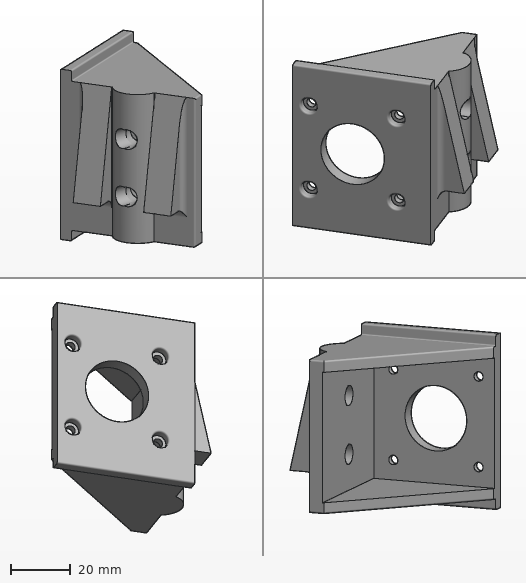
import cadquery as cq
import math


plate_height = 59.8
plate_thickness = 4.25
housing_length = 50.0
housing_depth = 48.8
housing_height = 52.25
slope_start_x = 6.15
end_face_depth = 5.45
edge_radius = 0.6
plate_corner_radius = 0.4

bore_wall = 5.5
front_wall = 5.0
gusset_thickness = 3.8

bore_diameter = 22.35
bore_y = 27.55
screw_spacing = 31.0
screw_diameter = 3.2
counterbore_diameter = 5.6
counterbore_depth = 3.0
counterbore_rounding = 0.6

rib_x = 27.0
rib_radius = 8.5
rib_reach = 4.9

barb_inner_offset = 8.0
barb_outer_offset = 18.05
barb_reach = 8.9
barb_bottom_z = -13.3
barb_side_radius = 2.0
barb_bottom_radius = 2.9

cross_hole_diameter = 6.8
cross_hole_spacing = 20.1
tilt_angle = 20.0
tilt_meeting_y = 0.9

housing_top = housing_height / 2


def box(x_range, y_range, z_range):
    (x0, x1), (y0, y1), (z0, z1) = x_range, y_range, z_range
    return cq.Workplane("XY").box(x1 - x0, y1 - y0, z1 - z0, centered=False).translate((x0, y0, z0))


def triangular_housing():
    body = (
        cq.Workplane("XY", origin=(0, 0, -housing_top))
        .moveTo(0, 0)
        .lineTo(housing_length, 0)
        .lineTo(housing_length, end_face_depth)
        .lineTo(slope_start_x, housing_depth)
        .lineTo(0, housing_depth)
        .close()
        .extrude(housing_height)
    )
    sloping_side = cq.selectors.NearestToPointSelector(
        ((housing_length + slope_start_x) / 2, (housing_depth + end_face_depth) / 2, 0)
    )
    slope_edges = body.faces(sloping_side).edges("#Z")
    end_edges = body.faces(">X").edges("#Z")
    front_edge = body.edges("|Z and >X and <Y")
    return slope_edges.add(end_edges).add(front_edge).fillet(edge_radius)


def mounting_plate():
    plate = box((0, plate_thickness), (0, housing_depth), (-plate_height / 2, plate_height / 2))
    return plate.edges("|Y").fillet(edge_radius)


def cavity():
    half_height = housing_top - gusset_thickness
    return box((bore_wall, housing_length), (front_wall, housing_depth), (-half_height, half_height))


def rib():
    return (
        cq.Workplane("XY", origin=(rib_x, rib_radius - rib_reach, -housing_top))
        .circle(rib_radius)
        .extrude(housing_height)
    )


def barb(side):
    """Wedge with flared foot; side is -1 or +1 along X from the rib."""
    diagonal = math.sqrt(0.5)
    inner_x = rib_x + side * barb_inner_offset
    outer_x = rib_x + side * barb_outer_offset
    side_arc_reach = barb_side_radius * (1 - diagonal)
    plan = (
        cq.Workplane("XY", origin=(0, 0, -housing_top))
        .moveTo(inner_x, front_wall)
        .lineTo(inner_x, -barb_reach)
        .lineTo(outer_x, -barb_reach)
        .lineTo(outer_x, -barb_side_radius)
        .threePointArc(
            (outer_x + side * side_arc_reach, -side_arc_reach),
            (outer_x + side * barb_side_radius, 0),
        )
        .lineTo(outer_x + side * barb_side_radius, front_wall)
        .close()
        .extrude(housing_height)
    )
    bottom_arc_reach = barb_bottom_radius * (1 - diagonal)
    foot_z = barb_bottom_z - barb_bottom_radius
    profile = (
        cq.Workplane("YZ")
        .moveTo(front_wall, housing_top)
        .lineTo(0, housing_top)
        .lineTo(-barb_reach, barb_bottom_z)
        .lineTo(-barb_bottom_radius, barb_bottom_z)
        .threePointArc((-bottom_arc_reach, barb_bottom_z - bottom_arc_reach), (0, foot_z))
        .lineTo(front_wall, foot_z)
        .close()
        .extrude(housing_length)
    )
    return plan.intersect(profile)


def plate_bore():
    return (
        cq.Workplane("YZ")
        .center(bore_y, 0)
        .circle(bore_diameter / 2)
        .extrude(bore_wall)
    )


def screw_holes():
    """Counterbored holes whose rims are rounded over with a quarter arc."""
    bottom_radius = counterbore_diameter / 2
    rim_radius = bottom_radius + counterbore_rounding
    arc_reach = counterbore_rounding * (1 - math.sqrt(0.5))
    cutter = (
        cq.Workplane("XY")
        .moveTo(0, 0)
        .lineTo(0, rim_radius)
        .threePointArc((arc_reach, bottom_radius + arc_reach), (counterbore_rounding, bottom_radius))
        .lineTo(counterbore_depth, bottom_radius)
        .lineTo(counterbore_depth, screw_diameter / 2)
        .lineTo(bore_wall, screw_diameter / 2)
        .lineTo(bore_wall, 0)
        .close()
        .revolve(360, (0, 0, 0), (1, 0, 0))
    )
    cutters = cq.Workplane("XY")
    for side_y in (-1, 1):
        for side_z in (-1, 1):
            y = bore_y + side_y * screw_spacing / 2
            z = side_z * screw_spacing / 2
            cutters = cutters.add(cutter.translate((0, y, z)))
    return cutters.combine()


def cross_hole(z):
    """Straight hole joined by a slanted entry of the same diameter."""
    radius = cross_hole_diameter / 2
    entry_length = 2 * rib_radius
    meeting_point = cq.Vector(rib_x, tilt_meeting_y, z)
    tilt = math.radians(tilt_angle)
    slant = cq.Vector(-math.sin(tilt), -math.cos(tilt), 0)
    straight = cq.Solid.makeCylinder(
        radius, entry_length + front_wall, cq.Vector(rib_x, front_wall, z), cq.Vector(0, -1, 0)
    )
    slanted = cq.Solid.makeCylinder(radius, entry_length, meeting_point, slant)
    return cq.Workplane(straight).union(cq.Workplane(slanted))


def round_plate_corners(body):
    """Blend the plate into the top and bottom of the housing."""
    for z in (-housing_top, housing_top):
        corner = cq.selectors.NearestToPointSelector((plate_thickness, housing_depth / 2, z))
        body = body.edges("|Y").edges(corner).fillet(plate_corner_radius)
    return body


result = round_plate_corners(mounting_plate().union(triangular_housing()))
result = result.cut(cavity()).union(rib().cut(cavity()))
for side in (-1, 1):
    result = result.union(barb(side))
result = result.cut(plate_bore()).cut(screw_holes())
for z in (-cross_hole_spacing / 2, cross_hole_spacing / 2):
    result = result.cut(cross_hole(z))